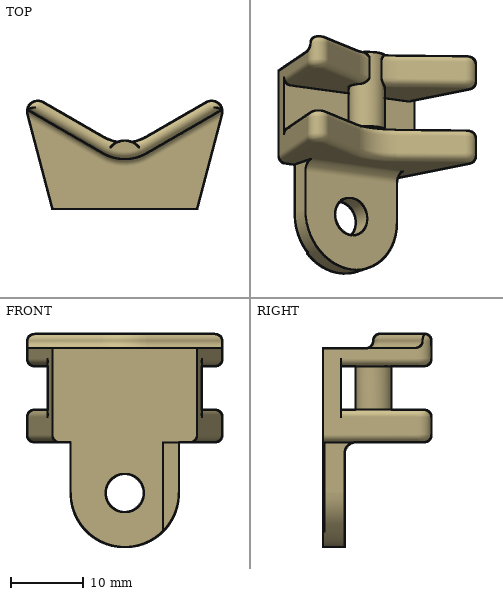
import cadquery as cq
import math

width = 27.0
depth = 15.0
front_width = 20.0
edge_round = 1.0

lug_radius = 7.5
body_bottom = 7.0
lower_arm_height = 4.5
slot_height = 6.0
body_height = 13.0
rim_height = 2.0
slot_bottom = body_bottom + lower_arm_height
slot_top = slot_bottom + slot_height
body_top = body_bottom + body_height
rim_top = body_top + rim_height

arm_slope = math.radians(30)
tip_radius = 1.5
bend_radius = 6.0
rim_thickness = 2.0
crest_flat = 0.005
rim_round = (rim_thickness - crest_flat) / 2

wall_thickness = 2.5
pin_diameter = 5.02
pin_offset = 7.0
lug_thickness = 3.0
lug_fillet = 1.5
hole_diameter = 5.25
recess_edge = 5.3
recess_depth = 0.2

tip_x = width / 2 - tip_radius
tip_y = depth - tip_radius
side_run = tip_x - front_width / 2
side_angle = math.atan2(side_run, tip_y) + math.asin(tip_radius / math.hypot(side_run, tip_y))
side_end = (tip_x + tip_radius * math.cos(side_angle), tip_y - tip_radius * math.sin(side_angle))
back_start = (tip_x - tip_radius * math.sin(arm_slope), tip_y + tip_radius * math.cos(arm_slope))

back_apex = back_start[1] - back_start[0] * math.tan(arm_slope)
rim_shift = rim_thickness / math.cos(arm_slope)

bend_x = bend_radius * math.sin(arm_slope)
bend_rise = bend_radius * (1 / math.cos(arm_slope) - 1)


def mirrored(point):
    return (-point[0], point[1])


def v_point(apex, x):
    """Point at x on the right leg of a V whose sharp corner is at y = apex."""
    return (x, apex + x * math.tan(arm_slope))


def arm_plate(bottom, top):
    """Full outline of an arm, extruded between two heights."""
    bend_end = v_point(back_apex, bend_x)
    tip_mid_angle = (math.pi / 2 + arm_slope - side_angle) / 2
    tip_mid = (tip_x + tip_radius * math.cos(tip_mid_angle), tip_y + tip_radius * math.sin(tip_mid_angle))
    return (
        cq.Workplane("XY", origin=(0, 0, bottom))
        .moveTo(-front_width / 2, 0)
        .lineTo(front_width / 2, 0)
        .lineTo(*side_end)
        .threePointArc(tip_mid, back_start)
        .lineTo(*bend_end)
        .threePointArc((0, back_apex + bend_rise), mirrored(bend_end))
        .lineTo(*mirrored(back_start))
        .threePointArc(mirrored(tip_mid), mirrored(side_end))
        .close()
        .extrude(top - bottom)
    )


def space_before_v(apex):
    """Space above the upper arm, in front of a bent V whose sharp corner is at y = apex.

    Its lower edge is rounded, so cutting it away leaves a fillet at the foot of the rim.
    """
    bend_end = v_point(apex, bend_x)
    leg_end = v_point(apex, width)
    return (
        cq.Workplane("XY", origin=(0, 0, body_top))
        .moveTo(-width, -depth)
        .lineTo(width, -depth)
        .lineTo(*leg_end)
        .lineTo(*bend_end)
        .threePointArc((0, apex + bend_rise), mirrored(bend_end))
        .lineTo(*mirrored(leg_end))
        .close()
        .extrude(2 * rim_height)
        .edges("<Z and (not <Y)")
        .fillet(edge_round)
    )


def outer_edges(plate, z):
    """Edges of a plate at height z, apart from those on the front face."""
    margin = 0.03
    box = cq.selectors.BoxSelector((-width, margin, z - margin), (width, 2 * depth, z + margin))
    return plate.edges(box)


def lower_arm():
    """Lower arm, rounded above and below."""
    plate = arm_plate(body_bottom, slot_bottom)
    plate = outer_edges(plate, body_bottom).fillet(edge_round)
    return outer_edges(plate, slot_bottom).fillet(edge_round)


def upper_arm():
    """Upper arm, rounded below, with the rounded rim along its back."""
    arm = arm_plate(slot_top, rim_top).cut(space_before_v(back_apex - rim_shift))
    arm = outer_edges(arm, slot_top).fillet(edge_round)
    return outer_edges(arm, rim_top).fillet(rim_round)


def wall():
    """Front wall closing the slot between the arms."""
    slab = cq.Workplane("XY").box(width, wall_thickness, body_top, centered=(True, False, False))
    return arm_plate(slot_bottom - edge_round, slot_top + edge_round).intersect(slab)


def pin():
    """Pin across the slot, flush with the rim top and kept behind the middle of the rim crest."""
    return (
        cq.Workplane("XY", origin=(0, pin_offset, slot_bottom))
        .circle(pin_diameter / 2)
        .extrude(rim_top - slot_bottom)
        .cut(space_before_v(back_apex - rim_shift / 2))
    )


def lug():
    """Round-ended lug, with a fillet under the lower arm, a hole and a recessed strip."""
    plate = (
        cq.Workplane("XZ")
        .moveTo(-lug_radius, body_bottom)
        .lineTo(-lug_radius, 0)
        .threePointArc((0, -lug_radius), (lug_radius, 0))
        .lineTo(lug_radius, body_bottom)
        .close()
        .extrude(-lug_thickness)
    )
    fillet_web = (
        cq.Workplane("YZ", origin=(-lug_radius, 0, 0))
        .moveTo(lug_thickness, body_bottom)
        .lineTo(lug_thickness + lug_fillet, body_bottom)
        .radiusArc((lug_thickness, body_bottom - lug_fillet), -lug_fillet)
        .close()
        .extrude(2 * lug_radius)
    )
    hole = cq.Workplane("XZ").circle(hole_diameter / 2).extrude(-lug_thickness)
    strip = (
        cq.Workplane("XY", origin=(recess_edge, 0, -lug_radius))
        .box(lug_radius, recess_depth, lug_radius + body_bottom, centered=False)
    )
    return plate.union(fillet_web).cut(hole).cut(strip)


result = lower_arm().union(upper_arm()).union(wall()).union(pin()).union(lug())